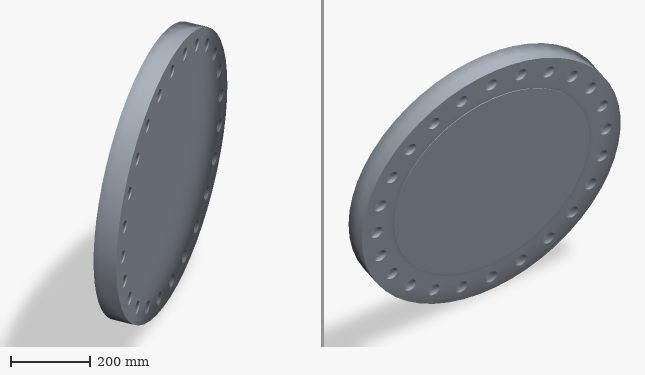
import cadquery as cq

flange_diameter = 774.7
total_thickness = 63.5
raised_face_diameter = 584.2
raised_face_height = 1.6
bolt_circle_diameter = 685.8
bolt_hole_diameter = 34.925
bolt_hole_count = 24

plate_thickness = total_thickness - raised_face_height


def disc(diameter, start_x, thickness):
    """Solid disc about the X axis, growing towards +X from start_x."""
    return cq.Workplane("YZ", origin=(start_x, 0, 0)).circle(diameter / 2).extrude(thickness)


def bolt_holes():
    """Ring of through-hole cutters, the first one on the Y axis."""
    return (
        cq.Workplane("YZ")
        .polarArray(bolt_circle_diameter / 2, 0, 360, bolt_hole_count)
        .circle(bolt_hole_diameter / 2)
        .extrude(total_thickness)
    )


raised_face = disc(raised_face_diameter, 0, raised_face_height)
plate = disc(flange_diameter, raised_face_height, plate_thickness)

result = plate.union(raised_face).cut(bolt_holes())